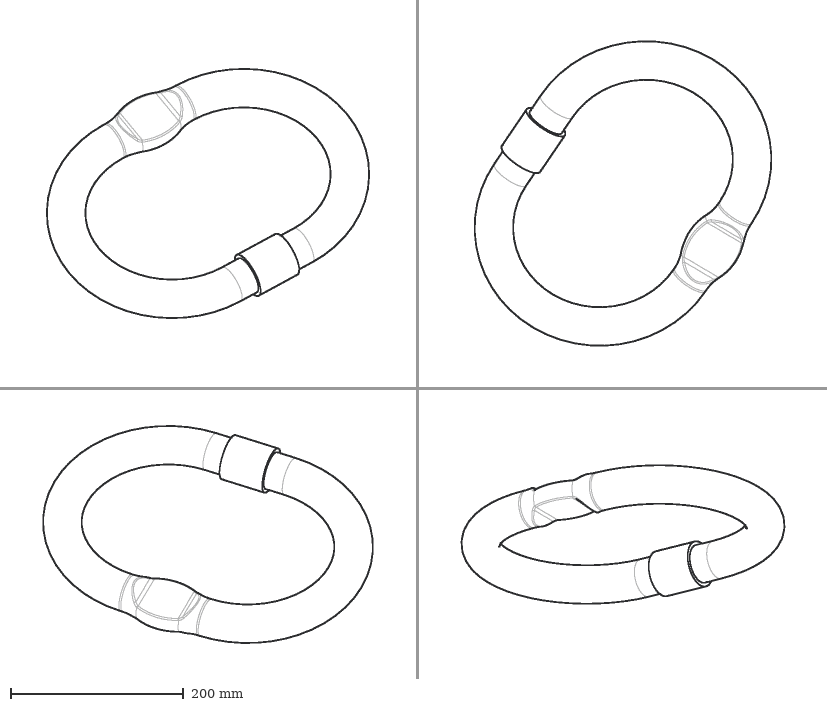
import cadquery as cq
import math

overall_length = 390.0
bar_diameter = 45.0
straight_length = 100.0
bar_radius = bar_diameter / 2
half_straight = straight_length / 2
bend_radius = (overall_length - straight_length - bar_diameter) / 2

sleeve_diameter = 54.0
sleeve_length = 54.0

swell_radius = 32.0
swell_half_length = 47.5
inflection_y = 26.5
flat_half_thickness = 11.0
ramp_start = 27.5
ramp_angle = 45.0
ramp_base_fillet = 6.2
rim_fillet = 2.0
cut_height = 2 * swell_radius


def bar_ring():
    path = (
        cq.Workplane("XY")
        .moveTo(bend_radius, -half_straight)
        .lineTo(bend_radius, half_straight)
        .threePointArc((0, half_straight + bend_radius), (-bend_radius, half_straight))
        .lineTo(-bend_radius, -half_straight)
        .threePointArc((0, -half_straight - bend_radius), (bend_radius, -half_straight))
        .close()
    )
    section = cq.Workplane("XZ", origin=(bend_radius, -half_straight, 0)).circle(bar_radius)
    return section.sweep(path)


def sleeve():
    start = cq.Workplane("XZ", origin=(bend_radius, sleeve_length / 2, 0))
    return start.circle(sleeve_diameter / 2).extrude(sleeve_length)


def swell():
    """Round swell about the leg axis: a convex arc running into two concave ones."""
    swell_rise = swell_radius - bar_radius
    inflection_radius = swell_radius - swell_rise * inflection_y / swell_half_length
    return (
        cq.Workplane("XY", origin=(-bend_radius, 0, 0))
        .moveTo(0, -half_straight)
        .lineTo(bar_radius, -half_straight)
        .lineTo(bar_radius, -swell_half_length)
        .tangentArcPoint((inflection_radius, -inflection_y), relative=False)
        .threePointArc((swell_radius, 0), (inflection_radius, inflection_y))
        .tangentArcPoint((bar_radius, swell_half_length), relative=False)
        .lineTo(bar_radius, half_straight)
        .lineTo(0, half_straight)
        .close()
        .revolve(360, (0, 0, 0), (0, 1, 0))
    )


def pressed_recess():
    """Trapezoid channel along X above the upper flat, with ramped ends."""
    ramp_run = cut_height / math.tan(math.radians(ramp_angle))
    floor_z = flat_half_thickness
    top_z = floor_z + cut_height
    return (
        cq.Workplane("YZ", origin=(-bend_radius, 0, 0))
        .polyline([
            (-ramp_start, floor_z),
            (ramp_start, floor_z),
            (ramp_start + ramp_run, top_z),
            (-ramp_start - ramp_run, top_z),
        ])
        .close()
        .extrude(2 * swell_radius, both=True)
        .edges("|X and <Z")
        .fillet(ramp_base_fillet)
    )


def pressed_grip():
    grip = swell()
    recess = pressed_recess()
    for cutter in (recess, recess.mirror("XY")):
        grip = grip.cut(cutter)
    return grip.faces("|Z").edges("not |X").fillet(rim_fillet)


leg_gap = cq.Workplane("XY").box(4 * swell_radius, straight_length, 4 * swell_radius)
leg_gap = leg_gap.translate((-bend_radius, 0, 0))

result = bar_ring().cut(leg_gap).union(pressed_grip()).union(sleeve())